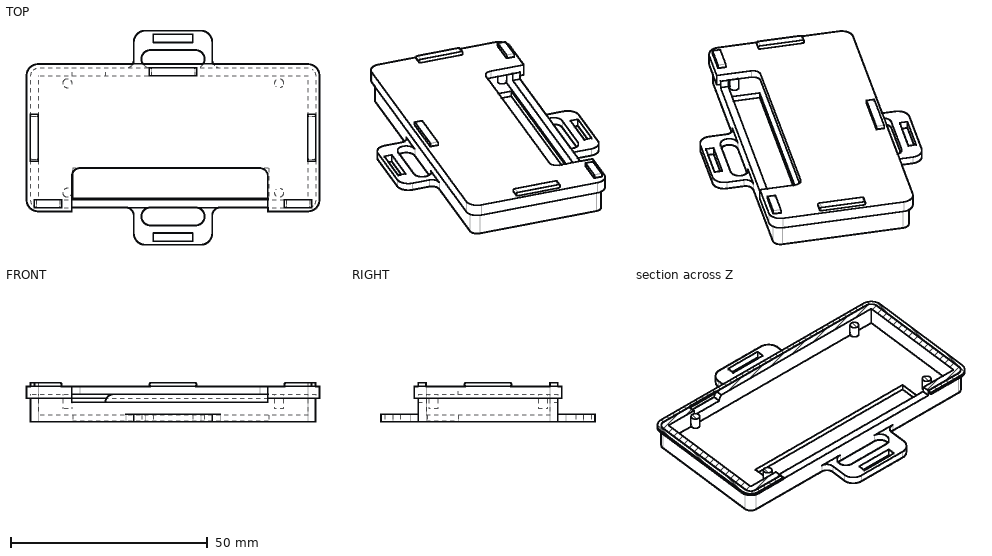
import cadquery as cq

CAVITY_X = 68.5
CAVITY_Y = 31.5
WALL = 2.0
SKIRT = 1.0

FLOOR_TOP = 1.8
POCKET_FLOOR = 0.3
LEDGE_Z = 5.0
SKIRT_BOTTOM = 6.0
BASE_TOP = 7.0
LID_TOP = 9.0
NUB_HEIGHT = 1.0

BASE_X = CAVITY_X + 2 * WALL
BASE_Y = CAVITY_Y + 2 * WALL
LID_X = BASE_X + 2 * SKIRT
LID_Y = BASE_Y + 2 * SKIRT
BASE_RADIUS = WALL
LID_RADIUS = WALL + SKIRT

OPENING_LEFT = -25.7
OPENING_RIGHT = 24.1
OPENING_DEPTH = 11.0
OPENING_RADIUS = 2.0

POCKET_LEFT = -25.5
POCKET_RIGHT = 24.3
POCKET_FRONT = -15.4
POCKET_BACK = -7.6

BACK_NOTCH_RIGHT = -17.2
BACK_NOTCH_RADIUS = BASE_TOP - LEDGE_Z

TOTAL_Y = 54.5
LOOP_WIDTH = 20.0
LOOP_THICKNESS = 2.0
LOOP_RADIUS = 3.0
LOOP_ROOT_RADIUS = 2.0
LOOP_SIDE_BAR = 2.0
STRAP_SLOT_X = 10.0
STRAP_SLOT_Y = 2.0
STRAP_SLOT_MARGIN = 1.0
LOOP_CROSS_BAR = 2.0

NUB_WIDTH = WALL
LONG_NUB = 12.0
SHORT_NUB = 7.0
SHORT_NUB_X = 31.75

PEG_DIAMETER = 2.3
PEG_BOTTOM = 3.5
PEG_X = 26.9
PEG_Y = 13.9


def block(x0, x1, y0, y1, z0, z1):
    """Box between two opposite corners."""
    return cq.Workplane("XY").box(x1 - x0, y1 - y0, z1 - z0, centered=False).translate((x0, y0, z0))


def rounded_plate(size_x, size_y, radius, z0, z1):
    """Centred plate with rounded vertical corners."""
    plate = cq.Workplane("XY").box(size_x, size_y, z1 - z0, centered=(True, True, False))
    return plate.edges("|Z").fillet(radius).translate((0, 0, z0))


def strap_loop():
    """Loop on the back side, with flared roots, a round-ended opening and a strap slot."""
    root_y = BASE_Y / 2
    tip_y = TOTAL_Y / 2
    buried_y = root_y - WALL / 2
    half = LOOP_WIDTH / 2
    flare = half + LOOP_ROOT_RADIUS
    loop = (
        cq.Workplane("XY")
        .moveTo(-flare, buried_y)
        .lineTo(-flare, root_y)
        .radiusArc((-half, root_y + LOOP_ROOT_RADIUS), -LOOP_ROOT_RADIUS)
        .lineTo(-half, tip_y - LOOP_RADIUS)
        .radiusArc((-half + LOOP_RADIUS, tip_y), LOOP_RADIUS)
        .lineTo(half - LOOP_RADIUS, tip_y)
        .radiusArc((half, tip_y - LOOP_RADIUS), LOOP_RADIUS)
        .lineTo(half, root_y + LOOP_ROOT_RADIUS)
        .radiusArc((flare, root_y), -LOOP_ROOT_RADIUS)
        .lineTo(flare, buried_y)
        .close()
        .extrude(LOOP_THICKNESS)
    )
    strap_slot_y = tip_y - STRAP_SLOT_MARGIN - STRAP_SLOT_Y / 2
    strap_slot = (
        cq.Workplane("XY").center(0, strap_slot_y).rect(STRAP_SLOT_X, STRAP_SLOT_Y).extrude(LOOP_THICKNESS)
    )
    opening_top = strap_slot_y - STRAP_SLOT_Y / 2 - LOOP_CROSS_BAR
    opening = (
        cq.Workplane("XY")
        .center(0, (opening_top + root_y) / 2)
        .slot2D(LOOP_WIDTH - 2 * LOOP_SIDE_BAR, opening_top - root_y)
        .extrude(LOOP_THICKNESS)
    )
    return loop.cut(strap_slot).cut(opening)


def back_notch():
    """Cut through the back wall whose right end flares outwards at the top."""
    flare_x = BACK_NOTCH_RIGHT + BACK_NOTCH_RADIUS
    return (
        cq.Workplane("XZ")
        .moveTo(OPENING_LEFT, LEDGE_Z)
        .lineTo(BACK_NOTCH_RIGHT, LEDGE_Z)
        .radiusArc((flare_x, BASE_TOP), BACK_NOTCH_RADIUS)
        .lineTo(OPENING_LEFT, BASE_TOP)
        .close()
        .extrude(-WALL)
        .translate((0, CAVITY_Y / 2, 0))
    )


def make_base():
    """Open tray with two strap loops, a lowered front wall and a notched back wall."""
    base = rounded_plate(BASE_X, BASE_Y, BASE_RADIUS, 0, BASE_TOP)
    half_x = CAVITY_X / 2
    half_y = CAVITY_Y / 2
    base = base.cut(block(-half_x, half_x, -half_y, half_y, FLOOR_TOP, BASE_TOP))
    base = base.cut(
        block(POCKET_LEFT, POCKET_RIGHT, POCKET_FRONT, POCKET_BACK, POCKET_FLOOR, FLOOR_TOP)
    )
    base = base.cut(block(OPENING_LEFT, OPENING_RIGHT, -BASE_Y / 2, -half_y, LEDGE_Z, BASE_TOP))
    base = base.cut(back_notch())
    for angle in (0, 180):
        base = base.union(strap_loop().rotate((0, 0, 0), (0, 0, 1), angle))
    return base


def nub(length):
    """Raised bar along X with half-round ends, resting on the lid at the origin."""
    return (
        cq.Workplane("XZ")
        .center(0, LID_TOP + NUB_HEIGHT / 2)
        .slot2D(length, NUB_HEIGHT)
        .extrude(NUB_WIDTH / 2, both=True)
    )


def lid_nubs():
    """Nubs above the walls of the base: one behind, one on each side, two in front."""
    edge_x = (BASE_X - NUB_WIDTH) / 2
    edge_y = (BASE_Y - NUB_WIDTH) / 2
    nubs = [nub(LONG_NUB).translate((0, edge_y, 0))]
    for side in (-1, 1):
        side_nub = nub(LONG_NUB).rotate((0, 0, 0), (0, 0, 1), 90)
        nubs.append(side_nub.translate((side * edge_x, 0, 0)))
        nubs.append(nub(SHORT_NUB).translate((side * SHORT_NUB_X, -edge_y, 0)))
    return nubs


def lid_opening():
    """Front opening through the plate and the skirt, with rounded back corners."""
    front_y = -LID_Y / 2
    opening = block(
        OPENING_LEFT, OPENING_RIGHT, front_y, front_y + OPENING_DEPTH, SKIRT_BOTTOM, LID_TOP
    )
    return opening.edges("|Z and >Y").fillet(OPENING_RADIUS)


def make_lid():
    """Cap whose skirt fits around the base, with nubs on top and pegs underneath."""
    lid = rounded_plate(LID_X, LID_Y, LID_RADIUS, SKIRT_BOTTOM, LID_TOP)
    lid = lid.cut(rounded_plate(BASE_X, BASE_Y, BASE_RADIUS, SKIRT_BOTTOM, BASE_TOP))
    lid = lid.cut(lid_opening())
    for bar in lid_nubs():
        lid = lid.union(bar)
    pegs = (
        cq.Workplane("XY", origin=(0, 0, PEG_BOTTOM))
        .rect(2 * PEG_X, 2 * PEG_Y, forConstruction=True)
        .vertices()
        .circle(PEG_DIAMETER / 2)
        .extrude(BASE_TOP - PEG_BOTTOM)
    )
    return lid.union(pegs)


base = make_base()
lid = make_lid()
result = cq.Compound.makeCompound([base.val(), lid.val()])